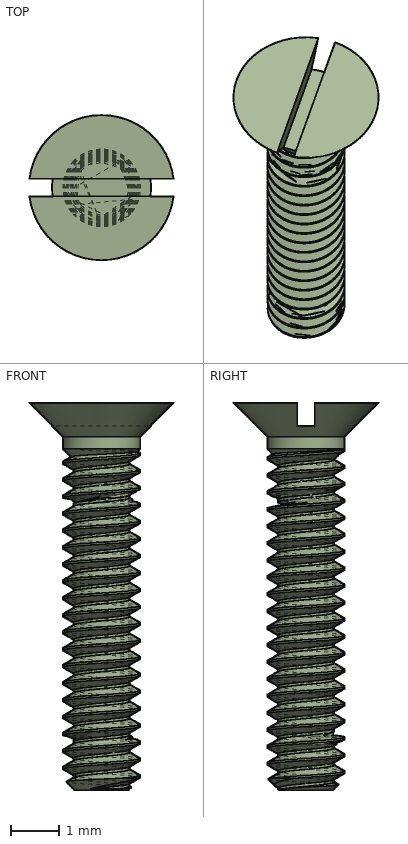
import cadquery as cq
import math

LENGTH = 8.0
HEAD_RADIUS = 1.5
THREAD_RADIUS = 0.8
PITCH = 0.35
COLLAR_HEIGHT = 0.25
TIP_CHAMFER = 0.25
SLOT_WIDTH = 0.36
SLOT_DEPTH = 0.475

HEAD_HEIGHT = HEAD_RADIUS - THREAD_RADIUS

FLANK_ANGLE = 30
FLANK_SLOPE = math.tan(math.radians(FLANK_ANGLE))
CREST_WIDTH = PITCH / 8
ROOT_DEPTH = 0.6134 * PITCH
ROOT_RADIUS = THREAD_RADIUS - ROOT_DEPTH

CREST_START = 0.29

ROOT_OVERLAP = 0.03

TIP_Z = -LENGTH
COLLAR_TOP_Z = -HEAD_HEIGHT
COLLAR_BOTTOM_Z = COLLAR_TOP_Z - COLLAR_HEIGHT


def revolve_profile(points):
    """Solid of revolution about Z from (radius, z) points."""
    return cq.Workplane("XZ").polyline(points).close().revolve(360, (0, 0, 0), (0, 1, 0))


def make_head():
    """Countersunk head, plain collar and the cone running down to the thread root."""
    cone_bottom_z = COLLAR_BOTTOM_Z - ROOT_DEPTH
    return revolve_profile([
        (0, 0),
        (HEAD_RADIUS, 0),
        (THREAD_RADIUS, COLLAR_TOP_Z),
        (THREAD_RADIUS, COLLAR_BOTTOM_Z),
        (ROOT_RADIUS, cone_bottom_z),
        (0, cone_bottom_z),
    ])


def make_ridge():
    """Right-handed helical ridge, running past both ends of the threaded length."""
    turns_below_first_crest = 2
    start_z = TIP_Z + CREST_START - turns_below_first_crest * PITCH
    turns = math.ceil((COLLAR_BOTTOM_Z - start_z) / PITCH)
    inner_radius = ROOT_RADIUS - ROOT_OVERLAP
    inner_half = CREST_WIDTH / 2 + (THREAD_RADIUS - inner_radius) * FLANK_SLOPE
    outer_half = CREST_WIDTH / 2
    path = cq.Wire.makeHelix(PITCH, turns * PITCH, THREAD_RADIUS, cq.Vector(0, 0, start_z))
    return (
        cq.Workplane("XZ")
        .polyline([
            (inner_radius, start_z - inner_half),
            (THREAD_RADIUS, start_z - outer_half),
            (THREAD_RADIUS, start_z + outer_half),
            (inner_radius, start_z + inner_half),
        ])
        .close()
        .sweep(cq.Workplane(obj=path), isFrenet=True)
    )


def make_thread():
    """Threaded rod, trimmed at the collar underside and by the 45 degree tip cone."""
    rod_length = LENGTH + PITCH
    rod = cq.Workplane("XY").circle(ROOT_RADIUS).extrude(-rod_length)
    tip_radius = THREAD_RADIUS - TIP_CHAMFER
    trim_radius = 2 * THREAD_RADIUS
    trim = revolve_profile([
        (0, COLLAR_BOTTOM_Z),
        (trim_radius, COLLAR_BOTTOM_Z),
        (trim_radius, TIP_Z + trim_radius - tip_radius),
        (tip_radius, TIP_Z),
        (0, TIP_Z),
    ])
    return rod.union(make_ridge()).intersect(trim)


def make_slot():
    """Straight driver slot along X, open at both sides of the head."""
    return cq.Workplane("XY").box(2 * HEAD_RADIUS, SLOT_WIDTH, 2 * SLOT_DEPTH)


result = make_head().union(make_thread()).cut(make_slot())